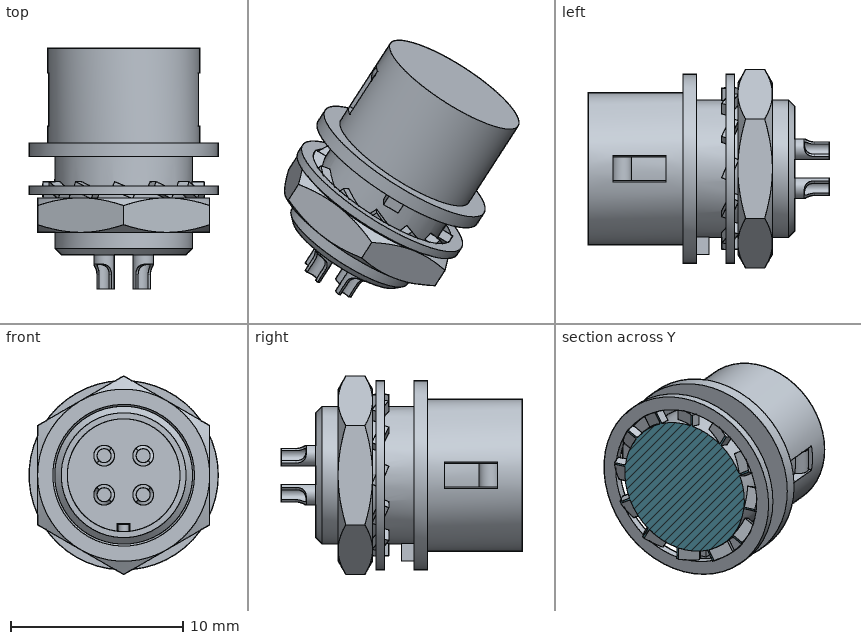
import cadquery as cq
import math


shell_radius = 4.42
shell_length = 5.5
flange_radius = 5.5
flange_thickness = 0.8
shell_end_y = flange_thickness + shell_length

body_radius = 4.0
body_end_y = -5.7
body_chamfer = 0.38
bore_radius = 3.28
recess_depth = 0.5

key_width = 1.0
key_length = 0.73
key_outer_radius = 4.98

notch_width = 0.75
notch_inner_radius = 2.8
notch_depth = 0.84
notch_rib_radius = 0.32
notch_rib_gap = 0.07

window_half_angle = 10
window_floor_radius = 3.9
window_start_y = 1.78
window_end_y = 4.86
latch_half_width = 0.67
latch_peak = 4.34
latch_arc_radius = 0.6
latch_axis_y = 4.37

washer_radius = flange_radius
washer_front_y = -1.7
washer_thickness = 0.5
tooth_count = 12
tooth_outer_radius = 4.7
tooth_inner_radius = 3.78
tooth_length = 1.35
tooth_twist = 23

nut_sides = 6
nut_across_flats = 10.0
nut_front_y = -2.4
nut_thickness = 2.0
nut_chamfer_angle = 30
nut_bore_chamfer = 0.11

pin_offset = 1.13
pin_radius = 0.6
cup_bore_radius = 0.4
pin_end_y = -7.7
cup_start = 0.53

overlap = 0.14


def cylinder(radius, start_y, end_y):
    """Solid cylinder on the connector axis between two Y stations."""
    return cq.Workplane("XZ", origin=(0, start_y, 0)).circle(radius).extrude(start_y - end_y)


def box(x_range, y_range, z_range):
    """Axis-aligned box given by its limits."""
    sizes = [high - low for low, high in (x_range, y_range, z_range)]
    corner = (x_range[0], y_range[0], z_range[0])
    return cq.Workplane("XY").box(*sizes, centered=False).translate(corner)


def make_housing():
    """Shell, flange and rear body with its recessed insulator face."""
    shell = cylinder(shell_radius, shell_end_y, 0)
    flange = cylinder(flange_radius, flange_thickness, 0)
    body = cylinder(body_radius, 0, body_end_y).faces("<Y").chamfer(body_chamfer)
    insulator_y = body_end_y + recess_depth
    recess = cylinder(bore_radius, insulator_y, body_end_y)
    notch = box(
        (-notch_width / 2, notch_width / 2),
        (body_end_y, insulator_y + notch_depth),
        (-bore_radius, -notch_inner_radius),
    ).intersect(cylinder(bore_radius, 0, body_end_y))
    notch_rib = (
        cq.Workplane("XY", origin=(0, insulator_y + notch_depth, -bore_radius - overlap))
        .circle(notch_rib_radius)
        .extrude(bore_radius + overlap - notch_inner_radius - notch_rib_gap)
    )
    notch = notch.cut(notch_rib)
    key = box(
        (-key_width / 2, key_width / 2),
        (-key_length, 0),
        (-key_outer_radius, -bore_radius),
    )
    outside = shell.union(flange).union(body).union(key)
    return outside.cut(recess).cut(notch)


def make_window():
    """Pocket on the +X side with radial side walls and a cylindrical floor."""
    reach = shell_radius + overlap
    half_height = reach * math.tan(math.radians(window_half_angle))
    wedge = (
        cq.Workplane("XZ", origin=(0, window_end_y, 0))
        .polyline([(0, 0), (reach, -half_height), (reach, half_height)])
        .close()
        .extrude(window_end_y - window_start_y)
    )
    return wedge.cut(cylinder(window_floor_radius, window_end_y, window_start_y))


def make_latch():
    """Rounded latch bump standing in the +X window."""
    bump = (
        cq.Workplane("XY", origin=(0, 0, -latch_half_width))
        .center(latch_peak - latch_arc_radius, latch_axis_y)
        .circle(latch_arc_radius)
        .extrude(2 * latch_half_width)
    )
    return bump.intersect(cylinder(shell_radius, window_end_y, window_start_y))


def make_washer():
    """Flat ring with teeth twisted about their radial axes."""
    back_y = washer_front_y - washer_thickness
    washer = cylinder(washer_radius, washer_front_y, back_y)
    washer = washer.cut(cylinder(tooth_outer_radius, washer_front_y, back_y))
    mid_y = (washer_front_y + back_y) / 2
    envelope = cylinder(tooth_outer_radius, 0, nut_front_y)
    tooth = (
        cq.Workplane("XY")
        .box(tooth_length, washer_thickness, tooth_outer_radius - tooth_inner_radius)
        .rotate((0, 0, 0), (0, 0, 1), -tooth_twist)
        .translate((0, mid_y, (tooth_outer_radius + tooth_inner_radius) / 2))
        .intersect(envelope)
    )
    for index in range(tooth_count):
        angle = index * 360 / tooth_count
        washer = washer.union(tooth.rotate((0, 0, 0), (0, 1, 0), angle))
    return washer


def make_nut():
    """Hexagonal nut with flats on +X and -X and both faces chamfered."""
    flat_radius = nut_across_flats / 2
    half_side_angle = 180 / nut_sides
    corner_radius = flat_radius / math.cos(math.radians(half_side_angle))
    back_y = nut_front_y - nut_thickness
    hexagon = (
        cq.Workplane("XZ", origin=(0, nut_front_y, 0))
        .polygon(nut_sides, 2 * corner_radius)
        .extrude(nut_thickness)
        .rotate((0, 0, 0), (0, 1, 0), half_side_angle)
    )
    drop = (corner_radius - flat_radius) * math.tan(math.radians(nut_chamfer_angle))
    turned_blank = (
        cq.Workplane("XY")
        .polyline([
            (body_radius, nut_front_y),
            (flat_radius, nut_front_y),
            (corner_radius, nut_front_y - drop),
            (corner_radius, back_y + drop),
            (flat_radius, back_y),
            (body_radius + nut_bore_chamfer, back_y),
            (body_radius, back_y + nut_bore_chamfer),
        ])
        .close()
        .revolve(360, (0, 0, 0), (0, 1, 0))
    )
    return hexagon.intersect(turned_blank)


def make_pin():
    """Solder cup on the Y axis whose +X half is cut away toward the tip."""
    root_y = body_end_y + recess_depth + overlap
    pin = cylinder(pin_radius, root_y, pin_end_y)
    pin = pin.cut(cylinder(cup_bore_radius, body_end_y, pin_end_y))
    arc_start_y = body_end_y - cup_start
    arc_end_y = arc_start_y - pin_radius
    arc_drop = pin_radius * math.sin(math.radians(45))
    opening = (
        cq.Workplane("XY", origin=(0, 0, -pin_radius))
        .moveTo(pin_radius, arc_start_y)
        .threePointArc(
            (pin_radius - arc_drop, arc_end_y + arc_drop),
            (0, arc_end_y),
        )
        .lineTo(0, pin_end_y)
        .lineTo(pin_radius, pin_end_y)
        .close()
        .extrude(2 * pin_radius)
    )
    return pin.cut(opening)


result = make_housing()
for side_angle in (0, 180):
    window = make_window().rotate((0, 0, 0), (0, 1, 0), side_angle)
    latch = make_latch().rotate((0, 0, 0), (0, 1, 0), side_angle)
    result = result.cut(window).union(latch)

result = result.union(make_washer()).union(make_nut())

pin = make_pin().translate((pin_offset * math.sqrt(2), 0, 0))
for pin_angle in (45, 135, 225, 315):
    result = result.union(pin.rotate((0, 0, 0), (0, 1, 0), pin_angle))